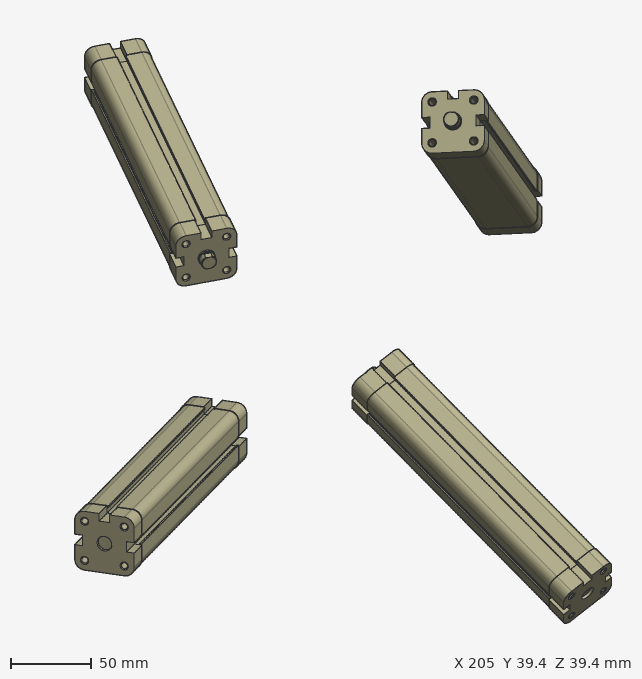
import cadquery as cq

overall_length = 205.0
rod_protrusion = 6.2
cap_length = 14.0
rear_x = -overall_length / 2
cap_face_x = overall_length / 2 - rod_protrusion
tube_start_x = rear_x + cap_length
tube_end_x = cap_face_x - cap_length
tube_length = tube_end_x - tube_start_x

tube_width = 38.7
cap_overhang = 0.37
cap_width = tube_width + 2 * cap_overhang

slot_width = 7.0
slot_depth = 5.1
slot_floor_z = cap_width / 2 - slot_depth
mouth_width = 5.5
lip_thickness = 1.2
slot_sides = (0, 90, -90)

screw_spacing = 26.2
screw_hole_diameter = 4.0
countersink = 0.6

recess_diameter = 9.6
recess_depth = 2.0

shank_diameter = 10.9
shank_protrusion = 1.2
tip_diameter = 9.8
tip_chamfer = 0.5
flat_length = 4.0
flat_spacing = 8.8


def bar(start_x, length, width):
    """Square bar along X with long edges rounded around the screw axes."""
    corner_radius = (width - screw_spacing) / 2
    block = cq.Workplane("YZ", origin=(start_x, 0, 0)).rect(width, width).extrude(length)
    return block.edges("|X").fillet(corner_radius)


def x_cylinder(start_x, length, diameter):
    """Round body centred on the X axis."""
    return cq.Workplane("YZ", origin=(start_x, 0, 0)).circle(diameter / 2).extrude(length)


def side_grooves(start_x, length, width, top_z, bottom_z):
    """Straight cutters along X, one for each slotted side."""
    groove = cq.Workplane("XY").box(length, width, top_z - bottom_z, centered=(False, True, False))
    groove = groove.translate((start_x, 0, bottom_z))
    cutters = cq.Workplane("XY")
    for angle in slot_sides:
        cutters = cutters.add(groove.rotate((0, 0, 0), (1, 0, 0), angle))
    return cutters.combine()


def screw_holes(start_x, length):
    """Four corner cutters parallel to X."""
    plane = cq.Workplane("YZ", origin=(start_x, 0, 0))
    return plane.rect(screw_spacing, screw_spacing, forConstruction=True).vertices().circle(
        screw_hole_diameter / 2).extrude(length)


def make_cap(start_x):
    """End cap with plain slots and screw holes."""
    cap = bar(start_x, cap_length, cap_width)
    cap = cap.cut(side_grooves(start_x, cap_length, slot_width, cap_width / 2, slot_floor_z))
    return cap.cut(screw_holes(start_x, cap_length))


def countersink_holes(cap, outer_face):
    """Chamfer the screw holes where they open on the outer face of a cap."""
    return cap.faces(outer_face).edges("%CIRCLE").edges(
        cq.selectors.RadiusNthSelector(0)).chamfer(countersink)


def make_tube():
    """Profile tube with lipped slots and screw holes."""
    lip_z = tube_width / 2 - lip_thickness
    tube = bar(tube_start_x, tube_length, tube_width)
    tube = tube.cut(side_grooves(tube_start_x, tube_length, mouth_width, tube_width / 2, lip_z))
    tube = tube.cut(side_grooves(tube_start_x, tube_length, slot_width, lip_z, slot_floor_z))
    return tube.cut(screw_holes(tube_start_x, tube_length))


def make_rod():
    """Rod shank with a thinner, chamfered tip that has flats on its +Z and -Z sides."""
    shank_end_x = cap_face_x + shank_protrusion
    tip_length = rod_protrusion - shank_protrusion
    shank = x_cylinder(tube_end_x, shank_end_x - tube_end_x, shank_diameter)
    tip = x_cylinder(shank_end_x, tip_length, tip_diameter).faces(">X").chamfer(tip_chamfer)
    flats = cq.Workplane("XY").box(flat_length, tip_diameter, tip_diameter)
    flats = flats.cut(cq.Workplane("XY").box(flat_length, tip_diameter, flat_spacing))
    flats = flats.translate(((overall_length - flat_length) / 2, 0, 0))
    return shank.union(tip.cut(flats))


def make_rear_cap():
    """Rear cap with a shallow round recess in its outer face."""
    cap = countersink_holes(make_cap(rear_x), "<X")
    return cap.cut(x_cylinder(rear_x, recess_depth, recess_diameter))


def make_front_cap():
    """Front cap with a through bore for the rod shank."""
    cap = countersink_holes(make_cap(tube_end_x), ">X")
    return cap.cut(x_cylinder(tube_end_x, cap_length, shank_diameter))


rear_cap = make_rear_cap()
tube = make_tube()
front_cap = make_front_cap()
rod = make_rod()

bodies = [rear_cap, tube, front_cap, rod]
result = cq.Compound.makeCompound([body.solids().val() for body in bodies])